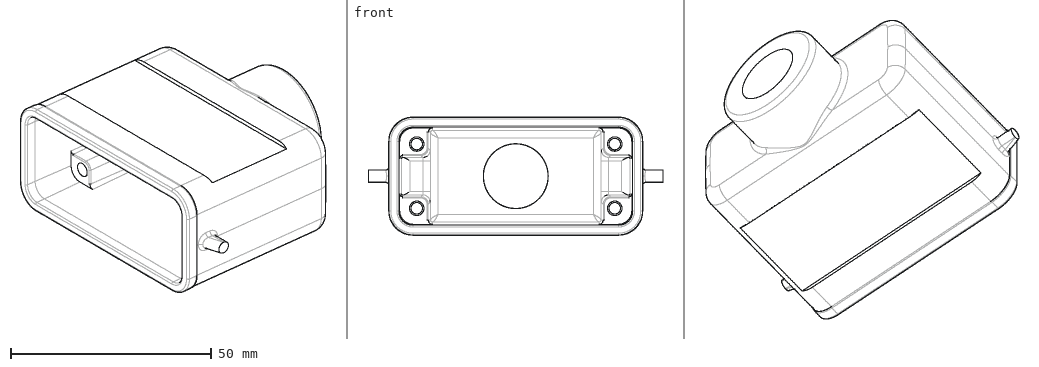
import cadquery as cq
import math

RIM_WIDTH = 63.35
RIM_HEIGHT = 29.5
RIM_DEPTH = 2.8
RIM_CORNER_RADIUS = 6.0
RIM_EDGE_RADIUS = 0.5
RIM_STEP = 0.1
RIM_STEP_DEPTH = 0.4

BODY_WIDTH = RIM_WIDTH - 2 * RIM_STEP
BODY_HEIGHT = RIM_HEIGHT - 2 * RIM_STEP
BODY_BACK = 47.8
BODY_BACK_RADIUS = 3.15
BODY_CORNER_RADIUS = 5.95
SIDE_DRAFT = 1.0

ENTRY_DIAMETER = 29.0
ENTRY_BORE = 16.1
ENTRY_END = 60.3
ENTRY_END_RADIUS = 1.2
ENTRY_ROOT_RADIUS = 1.2

LABEL_FRONT = 10.7
LABEL_BACK = 35.8
LABEL_DEPTH = 0.95
LABEL_END_SLOPE = 0.2

MOUTH_EDGE_RADIUS = 0.45
MOUTH_DEPTH = 2.95
WALL = 2.5
WALL_DRAFT = 1.2
FLOOR = 44.8
FLOOR_RADIUS = 1.85
CHAMBER_WIDTH = 43.65
CHAMBER_CORNER_RADIUS = 1.0

BOSS_FRONT = 14.7
BOSS_CORNER_RADIUS = 1.85
BOSS_EDGE_RADIUS = 0.3
POCKET_WIDTH = 10.3
POCKET_FLOOR = 38.2
POCKET_CORNER_RADIUS = 0.7
POCKET_FLOOR_RADIUS = 0.9
POCKET_END_RADIUS = 2.1
SCREW_SPACING_X = 49.4
SCREW_SPACING_Z = 16.0
SCREW_MOUTH_DIAMETER = 3.6
SCREW_END_DIAMETER = 2.9
SCREW_DEPTH = 11.0

PIN_SPAN = 73.5
PIN_DIAMETER = 3.1
PIN_Y = 7.4
PIN_WEB = 1.6
PIN_TIP_FLAT = 0.1
PIN_ROOT_RADIUS = 0.95

SELECT_MARGIN = 0.1
OVERCUT = 0.7

INNER_INSET = WALL + (BOSS_FRONT - MOUTH_DEPTH) * math.tan(math.radians(WALL_DRAFT))
INNER_WIDTH = RIM_WIDTH - 2 * INNER_INSET
INNER_HEIGHT = RIM_HEIGHT - 2 * INNER_INSET


def plane_at(y):
    """XZ sketch plane at depth y that extrudes toward +Y."""
    return cq.Workplane(cq.Plane(origin=(0, y, 0), xDir=(1, 0, 0), normal=(0, 1, 0)))


def rounded_block(width, height, radius, front, back, draft=0.0):
    """Centred block from front to back that narrows with depth by the draft angle."""
    outline = cq.Sketch().rect(width, height).vertices().fillet(radius)
    return plane_at(front).placeSketch(outline).extrude(back - front, taper=draft)


def sharp_block(width, height, front, back):
    """Centred sharp-edged block whose four sides close in with depth by the wall draft."""
    shrink = (back - front) * math.tan(math.radians(WALL_DRAFT))

    def wedge(plane, front_size, thickness):
        half = front_size / 2
        points = [(-half, front), (half, front), (half - shrink, back), (shrink - half, back)]
        return cq.Workplane(plane).polyline(points).close().extrude(thickness / 2, both=True)

    return wedge("XY", width, height).intersect(wedge("ZY", height, width))


def body():
    half_height = BODY_HEIGHT / 2
    half_width = BODY_WIDTH / 2
    half_top = half_width - half_height * math.tan(math.radians(SIDE_DRAFT))
    outline = (
        cq.Sketch()
        .polygon([
            (half_width, 0), (half_top, half_height), (-half_top, half_height),
            (-half_width, 0), (-half_top, -half_height), (half_top, -half_height),
            (half_width, 0),
        ])
        .vertices("<Y or >Y")
        .fillet(BODY_CORNER_RADIUS)
    )
    shell = plane_at(RIM_DEPTH).placeSketch(outline).extrude(BODY_BACK - RIM_DEPTH)
    return shell.faces(">Y").edges().fillet(BODY_BACK_RADIUS)


def rim():
    ring = rounded_block(RIM_WIDTH, RIM_HEIGHT, RIM_CORNER_RADIUS, 0, RIM_DEPTH + RIM_STEP_DEPTH)
    ring = ring.faces(">Y").edges().chamfer(RIM_STEP_DEPTH, RIM_STEP)
    return ring.faces("<Y").edges().fillet(RIM_EDGE_RADIUS)


def add_cable_entry(hood):
    entry = plane_at(FLOOR).circle(ENTRY_DIAMETER / 2).extrude(ENTRY_END - FLOOR)
    entry = entry.faces(">Y").edges().fillet(ENTRY_END_RADIUS)
    reach = ENTRY_DIAMETER / 2 + SELECT_MARGIN
    root = cq.selectors.BoxSelector(
        (-reach, FLOOR, -reach), (reach, BODY_BACK + SELECT_MARGIN, reach), boundingbox=True)
    return hood.union(entry).edges(root).fillet(ENTRY_ROOT_RADIUS)


def label_recess():
    """Cutters for the top and bottom recesses, with slightly sloping front and back ends."""
    face = BODY_HEIGHT / 2
    deep = RIM_HEIGHT / 2 - LABEL_DEPTH
    upper = (
        cq.Workplane("YZ")
        .polyline([
            (LABEL_FRONT, face), (LABEL_FRONT + LABEL_END_SLOPE, deep),
            (LABEL_BACK - LABEL_END_SLOPE, deep), (LABEL_BACK, face),
            (LABEL_BACK, face + OVERCUT), (LABEL_FRONT, face + OVERCUT),
        ])
        .close()
        .extrude(BODY_WIDTH / 2, both=True)
    )
    return upper.union(upper.mirror("XY"))


def pin():
    """Pin on the +X side, round at the tip and widened toward the mouth at its root."""
    root_x = BODY_WIDTH / 2 - WALL / 2
    tip_x = PIN_SPAN / 2
    web_growth = PIN_WEB * (tip_x - root_x) / (tip_x - BODY_WIDTH / 2)

    def slot(web):
        return cq.Sketch().slot(web, PIN_DIAMETER)

    return (
        cq.Workplane("YZ", origin=(root_x, PIN_Y - web_growth / 2, 0))
        .placeSketch(
            slot(web_growth),
            slot(PIN_TIP_FLAT).moved(cq.Location(cq.Vector(web_growth / 2, 0, tip_x - root_x))),
        )
        .loft()
    )


def add_pins(hood):
    side = BODY_WIDTH / 2
    side_drop = PIN_DIAMETER * math.tan(math.radians(SIDE_DRAFT))
    reach_z = PIN_DIAMETER / 2 + SELECT_MARGIN
    hood = hood.union(pin()).union(pin().mirror("YZ"))
    for sign in (-1, 1):
        root = cq.selectors.BoxSelector(
            (sign * (side - side_drop - SELECT_MARGIN), RIM_DEPTH + RIM_STEP_DEPTH, -reach_z),
            (sign * (side + SELECT_MARGIN), PIN_Y + reach_z, reach_z), boundingbox=True)
        hood = hood.edges(root).fillet(PIN_ROOT_RADIUS)
    return hood


def chamber():
    space = rounded_block(
        CHAMBER_WIDTH, INNER_HEIGHT, CHAMBER_CORNER_RADIUS, BOSS_FRONT, FLOOR, WALL_DRAFT)
    return space.faces(">Y").edges().fillet(FLOOR_RADIUS)


def pockets():
    """Space between the bosses at both ends, stopping at a shelf short of the floor."""
    space = rounded_block(
        INNER_WIDTH, POCKET_WIDTH, POCKET_CORNER_RADIUS, BOSS_FRONT, POCKET_FLOOR, WALL_DRAFT)
    space = space.faces(">Y").edges().fillet(POCKET_FLOOR_RADIUS)
    ends = sharp_block(INNER_WIDTH, 2 * POCKET_WIDTH, BOSS_FRONT, POCKET_FLOOR)
    ends = ends.faces(">Y").edges("<X or >X").fillet(POCKET_END_RADIUS)
    return space.intersect(ends)


def join_around_bosses(chamber_space, pocket_space):
    """Join chamber and pockets, rounding the boss corners and the shelf edges between them."""
    boss_corners = cq.selectors.BoxSelector(
        (-CHAMBER_WIDTH / 2, BOSS_FRONT + SELECT_MARGIN, -POCKET_WIDTH / 2),
        (CHAMBER_WIDTH / 2, POCKET_FLOOR - SELECT_MARGIN, POCKET_WIDTH / 2))
    return chamber_space.union(pocket_space).edges(boss_corners).fillet(BOSS_CORNER_RADIUS)


def boss_edge_rounding(front_space):
    """Thin slice of the hollow that rounds the front edges of the bosses, clear of the wall corners."""
    slice_space = join_around_bosses(
        sharp_block(CHAMBER_WIDTH, INNER_HEIGHT, BOSS_FRONT, FLOOR),
        sharp_block(INNER_WIDTH, POCKET_WIDTH, BOSS_FRONT, POCKET_FLOOR),
    ).union(front_space)
    clear_width = INNER_WIDTH - 2 * POCKET_CORNER_RADIUS
    clear_height = INNER_HEIGHT - 2 * CHAMBER_CORNER_RADIUS
    front_edges = cq.selectors.BoxSelector(
        (-clear_width / 2, BOSS_FRONT - SELECT_MARGIN, -clear_height / 2),
        (clear_width / 2, BOSS_FRONT + SELECT_MARGIN, clear_height / 2))
    slice_space = slice_space.edges(front_edges).fillet(BOSS_EDGE_RADIUS)
    return slice_space.intersect(
        plane_at(BOSS_FRONT).rect(clear_width, clear_height).extrude(BOSS_EDGE_RADIUS))


def cavity():
    width = RIM_WIDTH - 2 * WALL
    height = RIM_HEIGHT - 2 * WALL
    radius = RIM_CORNER_RADIUS - WALL
    mouth = rounded_block(width, height, radius, 0, MOUTH_DEPTH)
    front = rounded_block(width, height, radius, MOUTH_DEPTH, BOSS_FRONT, WALL_DRAFT)
    inner = join_around_bosses(chamber(), pockets())
    return inner.union(boss_edge_rounding(front)).union(front).union(mouth)


def screw_holes():
    half_x = SCREW_SPACING_X / 2
    half_z = SCREW_SPACING_Z / 2
    centres = [(x, z) for x in (-half_x, half_x) for z in (-half_z, half_z)]
    taper = math.degrees(math.atan((SCREW_MOUTH_DIAMETER - SCREW_END_DIAMETER) / 2 / SCREW_DEPTH))
    return (
        plane_at(BOSS_FRONT)
        .pushPoints(centres)
        .circle(SCREW_MOUTH_DIAMETER / 2)
        .extrude(SCREW_DEPTH, taper=taper)
    )


def round_mouth_edge(hood):
    half_width = RIM_WIDTH / 2 - WALL + SELECT_MARGIN
    half_height = RIM_HEIGHT / 2 - WALL + SELECT_MARGIN
    mouth_edge = cq.selectors.BoxSelector(
        (-half_width, -SELECT_MARGIN, -half_height),
        (half_width, SELECT_MARGIN, half_height), boundingbox=True)
    return hood.edges(mouth_edge).fillet(MOUTH_EDGE_RADIUS)


def entry_bore():
    return plane_at(FLOOR - OVERCUT).circle(ENTRY_BORE / 2).extrude(ENTRY_END - FLOOR + 2 * OVERCUT)


hood = add_cable_entry(add_pins(body().union(rim())))
hood = hood.cut(label_recess()).cut(cavity())
hood = round_mouth_edge(hood)
result = hood.cut(entry_bore()).cut(screw_holes())